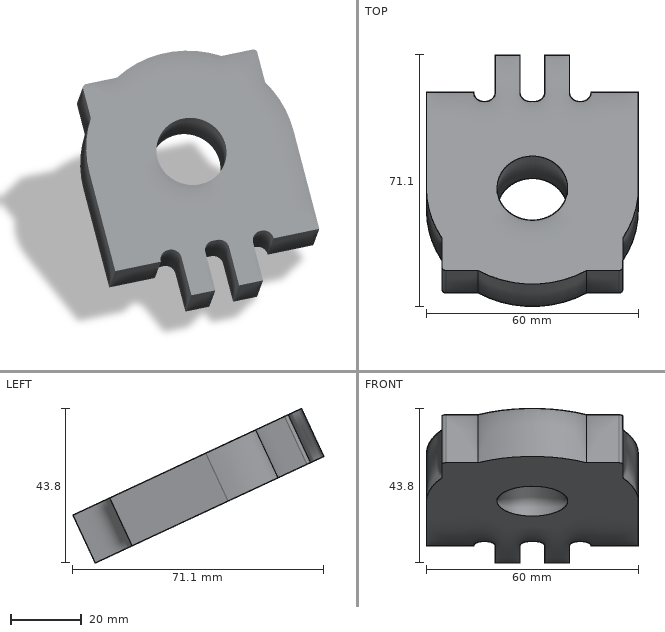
import cadquery as cq

body_width = 60.0
plate_thickness = 15.0
tilt_angle = 25
bore_diameter = 20.0

ear_half_width = 25.6
ear_front = 25.75
ear_corner_radius = 1.15

finger_length = 11.5
finger_width = 7.05
finger_gap = 7.0
relief_depth = 2.9
relief_width = 6.05
relief_corner_radius = 2.85

body_radius = body_width / 2
rear_edge = body_radius
slot_bottom = rear_edge - relief_depth
finger_end = rear_edge + finger_length
finger_span = 2 * finger_width + finger_gap
relief_center = (finger_span + relief_width) / 2


def centered_block(width, y_start, y_end, x_center=0):
    """Block of plate thickness, spanning y_start to y_end."""
    return (
        cq.Workplane("XY")
        .center(x_center, (y_start + y_end) / 2)
        .rect(width, y_end - y_start)
        .extrude(plate_thickness)
    )


def make_body():
    """Round-fronted plate with two square ears beside the front rim."""
    disc = cq.Workplane("XY").circle(body_radius).extrude(plate_thickness)
    rear = centered_block(body_width, 0, rear_edge)
    ears = centered_block(2 * ear_half_width, -ear_front, 0)
    ears = ears.edges("|Z and <Y").fillet(ear_corner_radius)
    return disc.union(rear).union(ears)


def make_slot(width, x_center):
    """Slot open to the rear, with rounded bottom corners."""
    slot = centered_block(width, slot_bottom, finger_end, x_center)
    return slot.edges("|Z and <Y").fillet(relief_corner_radius)


plate = make_body().union(centered_block(finger_span, 0, finger_end))
plate = plate.cut(make_slot(finger_gap, 0))
for side in (-1, 1):
    plate = plate.cut(make_slot(relief_width, side * relief_center))

bore = cq.Workplane("XY").circle(bore_diameter / 2).extrude(plate_thickness)
plate = plate.cut(bore)

result = plate.rotate((0, 0, 0), (1, 0, 0), -tilt_angle)